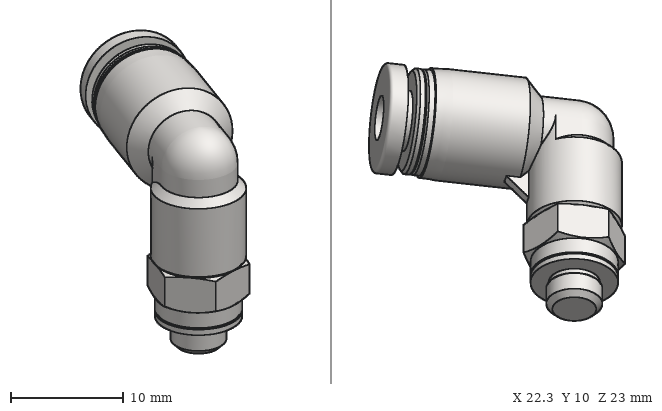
import cadquery as cq
import math


elbow_radius = 3.5
body_radius = 5.0
body_mouth_radius = 4.93
body_mouth_x = -13.6
body_mouth_bevel = 0.07
body_taper_end_x = -12.0
body_shoulder_x = -5.0
shoulder_end_x = body_shoulder_x + (body_radius - elbow_radius)

ring_radius = 4.75
ring_start_x = -15.2
ring_chamfer = 0.28
groove_x = -14.3
groove_half_width = 0.17
groove_depth = 0.17

collar_front_x = -17.7
collar_back_x = -16.05
collar_radius = 4.95
collar_fillet = 0.3
neck_radius = 2.7
neck_flare = 0.1
bore_radius = 2.0
bore_end_x = body_shoulder_x

sleeve_radius = 4.25
sleeve_top_z = -2.5
sleeve_cone_height = sleeve_radius - elbow_radius
sleeve_bottom_z = -9.5
sleeve_chamfer = 0.25

hex_across_flats = 8.0
hex_corner_radius = hex_across_flats / math.sqrt(3)
hex_top_z = sleeve_bottom_z
hex_bottom_z = -13.0
hex_top_flat_radius = 4.0
hex_top_angle = 15.0
hex_bottom_flat_radius = 3.9
hex_bottom_angle = 30.0

seat_radius = 3.9
seat_bottom_z = -14.65
seat_chamfer = 0.17
washer_bottom_z = -15.2
undercut_radius = 2.3
thread_radius = 2.5
thread_top_z = -15.8
thread_lead_in = 0.1
stem_bottom_z = -18.0
thread_chamfer = 0.55

web_thickness = 1.0
web_outer_z = -7.0


def revolve_about_x(points):
    """Turn a half profile of (x, radius) points about the tube axis."""
    return cq.Workplane("XZ").polyline(points).close().revolve(360, (0, 0), (1, 0))


def revolve_about_z(points):
    """Turn a half profile of (radius, z) points about the stem axis."""
    return cq.Workplane("XZ").polyline(points).close().revolve(360, (0, 0), (0, 1))


def make_release_collar():
    disc = (
        cq.Workplane("YZ", origin=(collar_front_x, 0, 0))
        .circle(collar_radius)
        .extrude(collar_back_x - collar_front_x)
        .faces("<X")
        .edges()
        .fillet(collar_fillet)
    )
    neck = revolve_about_x([
        (collar_back_x, 0),
        (collar_back_x, neck_radius + neck_flare),
        (collar_back_x + neck_flare, neck_radius),
        (ring_start_x, neck_radius),
        (ring_start_x, 0),
    ])
    return disc.union(neck)


def make_socket_body():
    return revolve_about_x([
        (ring_start_x, 0),
        (ring_start_x, ring_radius - ring_chamfer),
        (ring_start_x + ring_chamfer, ring_radius),
        (groove_x - groove_half_width, ring_radius),
        (groove_x, ring_radius - groove_depth),
        (groove_x + groove_half_width, ring_radius),
        (body_mouth_x, ring_radius),
        (body_mouth_x + body_mouth_bevel, body_mouth_radius),
        (body_taper_end_x, body_radius),
        (body_shoulder_x, body_radius),
        (shoulder_end_x, elbow_radius),
        (0, elbow_radius),
        (0, 0),
    ])


def make_elbow():
    ball = cq.Workplane("XY").sphere(elbow_radius)
    flank_block = cq.Workplane("XY").box(
        sleeve_radius, 2 * elbow_radius, -sleeve_top_z, centered=(False, True, False)
    ).translate((-sleeve_radius, 0, sleeve_top_z))
    sleeve_round = (
        cq.Workplane("XY", origin=(0, 0, sleeve_top_z)).circle(sleeve_radius).extrude(-sleeve_top_z)
    )
    return ball.union(flank_block.intersect(sleeve_round))


def make_sleeve():
    return revolve_about_z([
        (0, 0),
        (elbow_radius, 0),
        (elbow_radius, sleeve_top_z + sleeve_cone_height),
        (sleeve_radius, sleeve_top_z),
        (sleeve_radius, sleeve_bottom_z + sleeve_chamfer),
        (sleeve_radius - sleeve_chamfer, sleeve_bottom_z),
        (0, sleeve_bottom_z),
    ])


def make_hexagon():
    prism = (
        cq.Workplane("XY", origin=(0, 0, hex_bottom_z))
        .polygon(6, 2 * hex_corner_radius)
        .extrude(hex_top_z - hex_bottom_z)
    )
    top_drop = (hex_corner_radius - hex_top_flat_radius) * math.tan(math.radians(hex_top_angle))
    bottom_rise = (hex_corner_radius - hex_bottom_flat_radius) * math.tan(math.radians(hex_bottom_angle))
    chamfer_envelope = revolve_about_z([
        (0, hex_top_z),
        (hex_top_flat_radius, hex_top_z),
        (hex_corner_radius, hex_top_z - top_drop),
        (hex_corner_radius, hex_bottom_z + bottom_rise),
        (hex_bottom_flat_radius, hex_bottom_z),
        (0, hex_bottom_z),
    ])
    return prism.intersect(chamfer_envelope)


def make_threaded_stem():
    return revolve_about_z([
        (0, hex_bottom_z),
        (seat_radius, hex_bottom_z),
        (seat_radius, seat_bottom_z + seat_chamfer),
        (seat_radius - seat_chamfer, seat_bottom_z),
        (seat_radius, seat_bottom_z),
        (seat_radius, washer_bottom_z),
        (undercut_radius, washer_bottom_z),
        (undercut_radius, thread_top_z + thread_lead_in),
        (thread_radius - thread_lead_in, thread_top_z + thread_lead_in),
        (thread_radius, thread_top_z),
        (thread_radius, stem_bottom_z + thread_chamfer),
        (thread_radius - thread_chamfer, stem_bottom_z),
        (0, stem_bottom_z),
    ])


def make_web():
    inner_x = -sleeve_radius / 2
    inner_z = -body_radius / 2
    slope_sum = web_outer_z - sleeve_radius
    return (
        cq.Workplane("XZ")
        .polyline([
            (inner_x, inner_z),
            (slope_sum - inner_z, inner_z),
            (inner_x, slope_sum - inner_x),
        ])
        .close()
        .extrude(web_thickness / 2, both=True)
    )


def make_tube_bore():
    return (
        cq.Workplane("YZ", origin=(collar_front_x, 0, 0))
        .circle(bore_radius)
        .extrude(bore_end_x - collar_front_x)
    )


result = (
    make_socket_body()
    .union(make_release_collar())
    .union(make_elbow())
    .union(make_sleeve())
    .union(make_web())
    .union(make_hexagon())
    .union(make_threaded_stem())
    .cut(make_tube_bore())
)